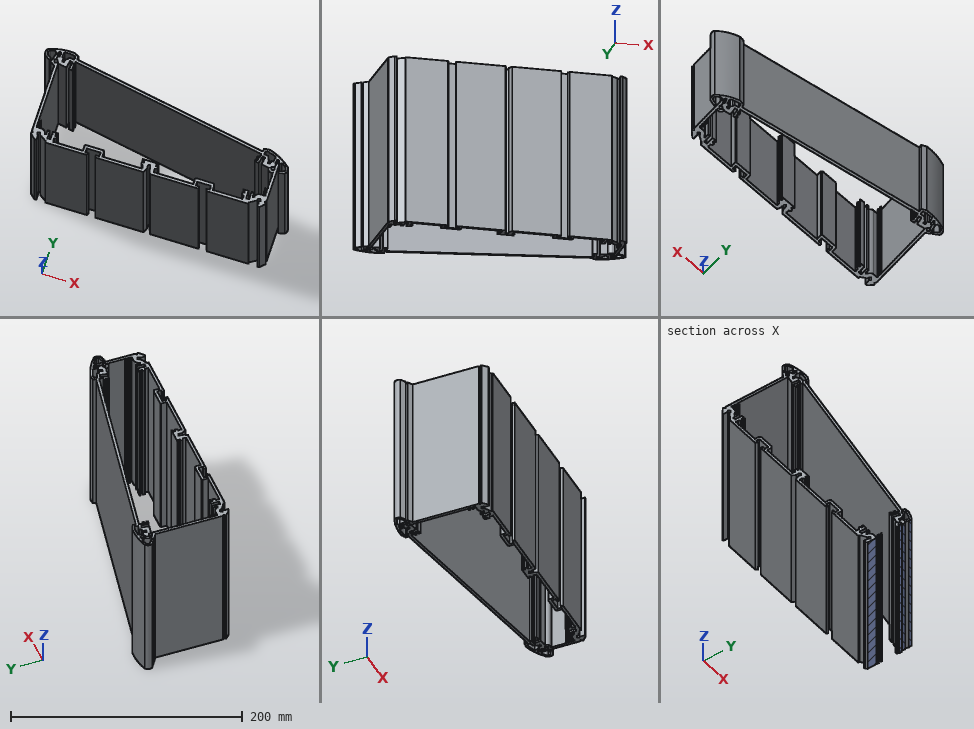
import cadquery as cq
PROFILE_LENGTH = 150.2
PIN_LENGTH = 152.3
PIN_DIAMETER = 3.0

FLOOR = 2.8
WALL = 2.8
WALL_OUTER_X = 106.3
WALL_INNER_X = WALL_OUTER_X - WALL
HIGH_WALL_TOP = 72.3
LOW_WALL_TOP = 41.0
POST_INNER_X = 85.8
POST_TOP = 11.5
WALL_FOOT = 7.2
TOOTH_REACH = 1.9

CHANNEL_X = 50.0
CHANNEL_TOP = 8.5
CHANNEL_OUTER_WIDTH = 17.7
CHANNEL_INNER_WIDTH = 12.5
CHANNEL_OPENING = 6.3
CHANNEL_LIP = 2.0
CHANNEL_LIP_BEVEL = 1.5
CHANNEL_CORNER = 1.0

RAIL_STEM_HALF = 5.3
RAIL_GROOVE_HALF = 1.2
RAIL_MOUTH_HALF = 3.0
RAIL_GROOVE_SHOULDER = 4.0
RAIL_GROOVE_TOP = 8.0

BARB_HEIGHTS = (12.8, 16.3)
BARB_REACH = 2.0

LID_TILT = 10
LID_ORIGIN = (-1.9, 55.5)
PIN_U = 105.8
CRADLE_RADIUS = 4.0
LID_BOTTOM = 7.2
LID_TOP = 10.0
RIM_INNER_U = 90.5
LEG_BOTTOM = -1.2
HINGE_BLOCK_BOTTOM = -1.05


def extrude(outline, length=PROFILE_LENGTH):
    """Extrude a closed outline symmetrically about the XY plane."""
    return outline.extrude(length / 2, both=True)


def prism(points):
    return extrude(cq.Workplane("XY").polyline(points).close())


def block(x_min, x_max, y_min, y_max):
    return prism([(x_min, y_min), (x_max, y_min), (x_max, y_max), (x_min, y_max)])


def both_sides(half):
    """A shape together with its mirror image across the YZ plane."""
    return half.union(half.mirror("YZ"))


def place_on_lid(body):
    """Move a body from the lid's own frame to its tilted place on the base."""
    return body.rotate((0, 0, 0), (0, 0, 1), -LID_TILT).translate((*LID_ORIGIN, 0))


def toothed_edge(face_x):
    """Two gripping teeth that point toward -X from a face, below the top of a post."""
    tip_x = face_x - TOOTH_REACH
    points = [
        (face_x, POST_TOP), (tip_x, POST_TOP), (tip_x, POST_TOP - 1.2), (face_x - 0.2, POST_TOP - 1.5),
        (face_x - 0.2, POST_TOP - 2.8), (tip_x, POST_TOP - 3.0), (tip_x, POST_TOP - 4.9),
        (face_x, POST_TOP - 5.5),
    ]
    return prism(points)


def base_corner():
    """Foot, screw groove and post at the +X lower corner of the base."""
    outline = (
        cq.Workplane("XY")
        .moveTo(POST_INNER_X, 0)
        .lineTo(92.0, 0)
        .lineTo(92.0, 1.5)
        .lineTo(98.4, 5.3)
        .lineTo(98.4, 6.0)
        .threePointArc((99.8, 7.5), (101.2, 6.0))
        .threePointArc((101.0, 5.3), (100.0, 4.9))
        .lineTo(100.0, 0)
        .lineTo(101.9, 0)
        .lineTo(WALL_OUTER_X, 4.2)
        .lineTo(WALL_OUTER_X, 5.0)
        .lineTo(105.0, 6.0)
        .lineTo(WALL_OUTER_X, WALL_FOOT)
        .lineTo(WALL_OUTER_X, POST_TOP)
        .lineTo(98.5, POST_TOP)
        .threePointArc((96.3, 10.2), (94.6, 7.7))
        .lineTo(94.2, 7.2)
        .lineTo(93.5, 7.5)
        .lineTo(93.5, POST_TOP)
        .lineTo(91.5, POST_TOP)
        .lineTo(91.5, 4.2)
        .lineTo(88.5, 4.2)
        .lineTo(88.5, POST_TOP)
        .lineTo(POST_INNER_X, POST_TOP)
        .close()
    )
    return extrude(outline).union(toothed_edge(POST_INNER_X))


def wall_barb(bottom):
    """Small upturned barb on the inside of the +X wall."""
    tip_x = WALL_INNER_X - BARB_REACH
    points = [
        (WALL_INNER_X, bottom), (WALL_INNER_X - 1.5, bottom), (tip_x, bottom + 1.0),
        (tip_x, bottom + 2.3), (WALL_INNER_X - 1.5, bottom + 1.2), (WALL_INNER_X, bottom + 1.2),
    ]
    return prism(points)


def channel():
    """The bridge of the +X channel and the lipped space inside it, with its outer lip bevelled."""
    outer = block(
        CHANNEL_X - CHANNEL_OUTER_WIDTH / 2, CHANNEL_X + CHANNEL_OUTER_WIDTH / 2, 0, CHANNEL_TOP
    ).edges("|Z and >Y").chamfer(CHANNEL_CORNER)
    cavity = block(
        CHANNEL_X - CHANNEL_INNER_WIDTH / 2, CHANNEL_X + CHANNEL_INNER_WIDTH / 2,
        CHANNEL_LIP, CHANNEL_TOP - FLOOR,
    )
    opening_min = CHANNEL_X - CHANNEL_OPENING / 2
    opening_max = CHANNEL_X + CHANNEL_OPENING / 2
    opening = prism([
        (opening_min, 0), (opening_max + CHANNEL_LIP_BEVEL, 0), (opening_max, CHANNEL_LIP),
        (opening_min, CHANNEL_LIP),
    ])
    return outer, cavity.union(opening)


def rail_groove():
    """Round-topped groove with a flared mouth under the central rail."""
    outline = (
        cq.Workplane("XY")
        .moveTo(-RAIL_MOUTH_HALF, 0)
        .lineTo(RAIL_MOUTH_HALF, 0)
        .lineTo(RAIL_GROOVE_HALF, RAIL_GROOVE_SHOULDER)
        .lineTo(RAIL_GROOVE_HALF, RAIL_GROOVE_TOP - RAIL_GROOVE_HALF)
        .threePointArc((0, RAIL_GROOVE_TOP), (-RAIL_GROOVE_HALF, RAIL_GROOVE_TOP - RAIL_GROOVE_HALF))
        .lineTo(-RAIL_GROOVE_HALF, RAIL_GROOVE_SHOULDER)
        .close()
    )
    return extrude(outline)


def hook_finger(foot):
    """Finger outside the pin on the +U end, standing on the listed foot corners."""
    finger = [
        (104.0, 0.12), (106.5, 0.12), (106.5, 4.5), (105.5, 5.0), (108.0, 6.5), (108.4, 6.7),
        (108.8, 6.5), (109.0, 1.2),
    ]
    return prism(finger + foot)


def high_hook():
    """Hook on the high wall, with a straight sloping gusset outside the wall."""
    gusset = [(110.0, -2.3), (104.6, -4.7), (102.8, HINGE_BLOCK_BOTTOM)]
    return place_on_lid(hook_finger(gusset).mirror("YZ"))


def low_hook():
    """Hook on the low wall, with a cradle inside the wall that is round about the pin."""
    cradle = (
        cq.Workplane("XY")
        .moveTo(PIN_U - CRADLE_RADIUS, HINGE_BLOCK_BOTTOM)
        .threePointArc((PIN_U - 3.0, -2.8), (PIN_U, -CRADLE_RADIUS))
        .lineTo(107.5, -CRADLE_RADIUS)
        .lineTo(107.5, 0.12)
        .lineTo(104.0, 0.12)
        .close()
    )
    foot = [(110.0, -2.3), (PIN_U, -2.3)]
    return place_on_lid(hook_finger(foot).union(extrude(cradle)))


def make_base(pins):
    floor = block(-POST_INNER_X, POST_INNER_X, 0, FLOOR)
    rail = block(-RAIL_STEM_HALF, RAIL_STEM_HALF, 0, POST_TOP)
    rail = rail.union(both_sides(toothed_edge(-RAIL_STEM_HALF)))
    bridge, channel_space = channel()

    half = base_corner().union(bridge)
    for height in BARB_HEIGHTS:
        half = half.union(wall_barb(height))
    half = half.union(block(WALL_INNER_X, WALL_OUTER_X, WALL_FOOT, LOW_WALL_TOP))

    body = floor.union(rail).union(both_sides(half))
    body = body.cut(both_sides(channel_space)).cut(rail_groove())
    body = body.union(block(-WALL_OUTER_X, -WALL_INNER_X, LOW_WALL_TOP, HIGH_WALL_TOP))
    return body.union(high_hook()).union(low_hook()).cut(pins)


def lid_half():
    """The +U half of the lid profile, before the hinge hook and the pin are cut from it."""
    outline = (
        cq.Workplane("XY")
        .moveTo(0, LID_BOTTOM)
        .lineTo(RIM_INNER_U, LID_BOTTOM)
        .lineTo(90.7, 3.5)
        .lineTo(88.8, 4.2)
        .lineTo(88.5, 2.5)
        .lineTo(90.2, 2.0)
        .lineTo(90.2, 0.7)
        .lineTo(88.5, 0.5)
        .lineTo(88.5, LEG_BOTTOM)
        .lineTo(92.5, LEG_BOTTOM)
        .lineTo(92.5, 5.8)
        .lineTo(95.0, 5.8)
        .lineTo(95.0, HINGE_BLOCK_BOTTOM)
        .lineTo(105.8, HINGE_BLOCK_BOTTOM)
        .lineTo(107.2, 0)
        .lineTo(107.2, 4.5)
        .lineTo(105.5, 4.9)
        .lineTo(105.0, 5.3)
        .lineTo(105.3, 9.0)
        .lineTo(106.7, 9.3)
        .lineTo(107.5, 8.1)
        .lineTo(107.7, 6.0)
        .lineTo(108.5, 6.3)
        .lineTo(110.2, 8.1)
        .threePointArc((112.5, 7.2), (114.6, 6.0))
        .lineTo(115.8, 5.0)
        .lineTo(115.8, 3.0)
        .lineTo(114.6, 2.0)
        .lineTo(111.2, 0.5)
        .lineTo(111.6, -1.6)
        .lineTo(116.7, 0.7)
        .threePointArc((118.0, 4.2), (116.5, 7.2))
        .threePointArc((107.0, 11.6), (95.3, 14.2))
        .lineTo(RIM_INNER_U, 12.8)
        .lineTo(RIM_INNER_U, LID_TOP)
        .lineTo(0, LID_TOP)
        .close()
    )
    return extrude(outline)


def lid_cavity():
    """Closed chamber inside the lid rim, with a screw slot in its floor."""
    outline = (
        cq.Workplane("XY")
        .moveTo(92.8, 8.4)
        .lineTo(97.0, 8.4)
        .lineTo(97.7, 6.5)
        .lineTo(99.3, 5.3)
        .lineTo(99.3, 2.5)
        .lineTo(101.2, 2.5)
        .lineTo(101.2, 5.8)
        .lineTo(103.0, 6.0)
        .lineTo(103.0, 10.7)
        .threePointArc((99.3, 11.5), (95.3, 11.9))
        .lineTo(92.8, 11.5)
        .close()
    )
    return extrude(outline)


def make_lid(base, pins):
    blank = place_on_lid(both_sides(lid_half().cut(lid_cavity())))
    return blank.cut(pins).cut(base)


def make_pins():
    pins = cq.Workplane("XY")
    for u in (-PIN_U, PIN_U):
        pin = extrude(cq.Workplane("XY").center(u, 0).circle(PIN_DIAMETER / 2), PIN_LENGTH)
        pins = pins.add(place_on_lid(pin))
    return pins


pins = make_pins()
pin_space = cq.Workplane(cq.Compound.makeCompound(pins.vals()))
base = make_base(pin_space)
lid = make_lid(base, pin_space)

result = cq.Compound.makeCompound([base.val(), lid.val(), *pins.vals()])